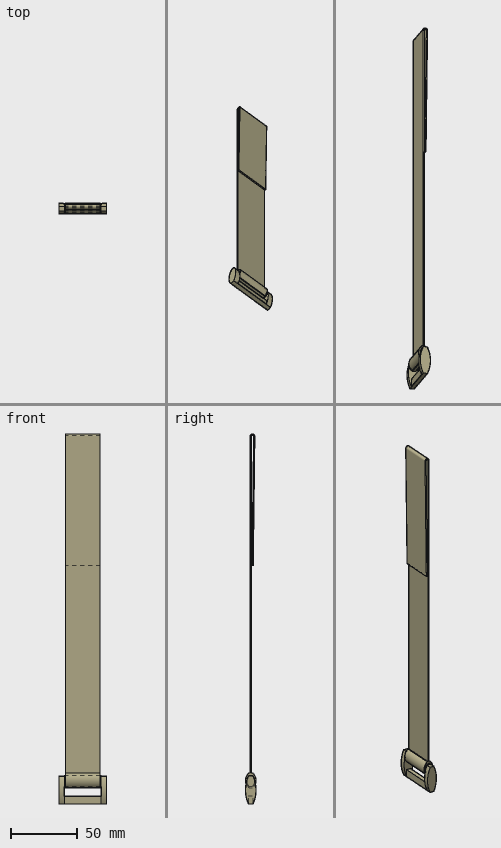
import cadquery as cq

TOTAL_HEIGHT = 276.5
BUCKLE_WIDTH = 35.7
BUCKLE_DEPTH = 8.0

PLATE_HEIGHT = 21.0
PLATE_THICKNESS = 4.1
PLATE_END_DEPTH = 3.3
PLATE_GAP = BUCKLE_WIDTH - 2 * PLATE_THICKNESS
LOWER_BAR_HEIGHT = 6.0
LOWER_BAR_DEPTH = 3.5

STRAP_WIDTH = 26.0
STRAP_THICKNESS = 1.0
STRAP_HALF = STRAP_THICKNESS / 2
WRAP_BOTTOM = 12.2
WRAP_TOP = 23.5
WRAP_END_DEPTH = 2.2

FOLD_OUTER_RADIUS = 1.8
FOLD_INNER_RADIUS = FOLD_OUTER_RADIUS - STRAP_THICKNESS
FOLD_CENTER_Y = FOLD_OUTER_RADIUS - STRAP_HALF
FOLD_CENTER_Z = TOTAL_HEIGHT - FOLD_OUTER_RADIUS
TAIL_END_Z = 178.3
TAIL_END_GAP = 0.41

UPPER_BAR_BOTTOM = WRAP_BOTTOM + STRAP_THICKNESS
UPPER_BAR_TOP = 21.5
UPPER_BAR_DEPTH = BUCKLE_DEPTH - 2 * STRAP_THICKNESS


def lens(width, z_bottom, z_top, end_depth, depth):
    """Prism along X, centred on X = 0: flat ends joined by two bulging arcs."""
    half_end = end_depth / 2
    z_middle = (z_bottom + z_top) / 2
    return (
        cq.Workplane("YZ", origin=(-width / 2, 0, 0))
        .moveTo(-half_end, z_bottom)
        .lineTo(half_end, z_bottom)
        .threePointArc((depth / 2, z_middle), (half_end, z_top))
        .lineTo(-half_end, z_top)
        .threePointArc((-depth / 2, z_middle), (-half_end, z_bottom))
        .close()
        .extrude(width)
    )


def make_upper_bar():
    """Bar that fills the inside of the strap's wrap."""
    return lens(PLATE_GAP, UPPER_BAR_BOTTOM, UPPER_BAR_TOP, WRAP_END_DEPTH, UPPER_BAR_DEPTH)


def make_lower_bar(outline):
    """Rectangular bar, flush with the bottom of the end plates and trimmed to their outline."""
    bar = cq.Workplane("XY").box(
        PLATE_GAP, LOWER_BAR_DEPTH, LOWER_BAR_HEIGHT, centered=(True, True, False)
    )
    return bar.intersect(outline)


def make_buckle():
    """End plates and both bars as one frame."""
    outline = lens(BUCKLE_WIDTH, 0, PLATE_HEIGHT, PLATE_END_DEPTH, BUCKLE_DEPTH)
    gap = cq.Workplane("XY").box(
        PLATE_GAP, BUCKLE_DEPTH, PLATE_HEIGHT, centered=(True, True, False)
    )
    return outline.cut(gap).union(make_lower_bar(outline)).union(make_upper_bar())


def make_band():
    """Upright band with the rounded fold and the slanting tail behind it."""
    tail_inner_y = STRAP_HALF + TAIL_END_GAP
    tail_outer_y = tail_inner_y + STRAP_THICKNESS
    band_bottom = (UPPER_BAR_TOP + WRAP_TOP) / 2
    return (
        cq.Workplane("YZ", origin=(-STRAP_WIDTH / 2, 0, 0))
        .moveTo(-STRAP_HALF, band_bottom)
        .lineTo(-STRAP_HALF, FOLD_CENTER_Z)
        .threePointArc(
            (FOLD_CENTER_Y, TOTAL_HEIGHT),
            (FOLD_CENTER_Y + FOLD_OUTER_RADIUS, FOLD_CENTER_Z),
        )
        .lineTo(tail_outer_y, TAIL_END_Z)
        .lineTo(tail_inner_y, TAIL_END_Z)
        .lineTo(FOLD_CENTER_Y + FOLD_INNER_RADIUS, FOLD_CENTER_Z)
        .threePointArc(
            (FOLD_CENTER_Y, FOLD_CENTER_Z + FOLD_INNER_RADIUS),
            (STRAP_HALF, FOLD_CENTER_Z),
        )
        .lineTo(STRAP_HALF, band_bottom)
        .close()
        .extrude(STRAP_WIDTH)
    )


def make_strap():
    """Band joined to the wrap, which is hollow where the upper bar passes through."""
    wrap = lens(STRAP_WIDTH, WRAP_BOTTOM, WRAP_TOP, WRAP_END_DEPTH, BUCKLE_DEPTH)
    return wrap.cut(make_upper_bar()).union(make_band())


buckle = make_buckle()
strap = make_strap()
result = cq.Compound.makeCompound([buckle.val(), strap.val()])